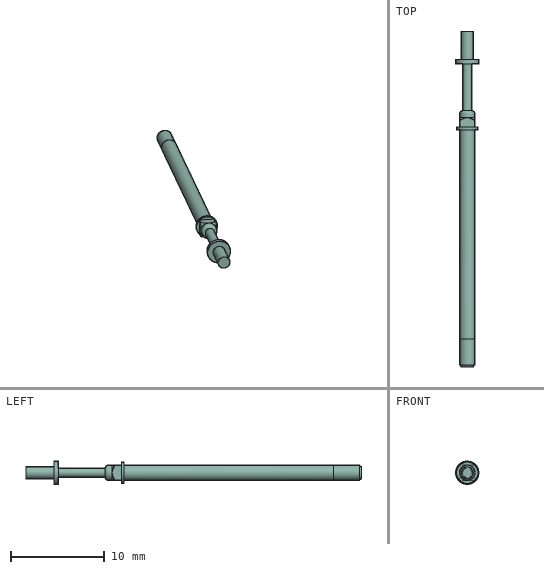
import cadquery as cq

overall_length = 36.0

head_diameter = 1.3
disc_diameter = 2.5
disc_thickness = 0.5
disc_distance_from_tip = 3.0
stem_diameter = 1.0

barrel_diameter = 1.65
mouth_distance_from_tip = 8.5
mouth_radius = 0.35
mouth_length = 0.75
square_length = 1.0
flange_diameter = 2.3
flange_thickness = 0.3

tail_length = 3.0
tail_diameter = 1.63
tail_chamfer_length = 0.25
tail_chamfer_depth = 0.2

flange_top = flange_thickness
square_top = flange_top + square_length
mouth_top = square_top + mouth_length
tip = mouth_top + mouth_distance_from_tip
disc_top = tip - disc_distance_from_tip
disc_bottom = disc_top - disc_thickness
tail_end = tip - overall_length
tail_top = tail_end + tail_length


def cylinder(diameter, bottom, top):
    """Round bar on the Y axis between two stations."""
    bar = cq.Workplane("XZ").circle(diameter / 2).extrude(bottom - top)
    return bar.translate((0, bottom, 0))


def make_plunger():
    head = cylinder(head_diameter, disc_bottom, tip)
    disc = cylinder(disc_diameter, disc_bottom, disc_top)
    stem = cylinder(stem_diameter, flange_top, disc_bottom)
    return head.union(disc).union(stem)


def make_square_collar():
    """Square collar whose corners are turned to the flange diameter and bevelled at 45 degrees."""
    square = cq.Workplane("XZ").rect(barrel_diameter, barrel_diameter).extrude(-square_top)
    bevel = (flange_diameter - barrel_diameter) / 2
    turned = cylinder(flange_diameter, 0, square_top).faces(">Y").chamfer(bevel)
    return square.intersect(turned)


def make_barrel():
    mouth = cylinder(barrel_diameter, flange_top, mouth_top)
    mouth = mouth.faces(">Y").edges().fillet(mouth_radius)
    flange = cylinder(flange_diameter, 0, flange_thickness)
    tube = cylinder(barrel_diameter, tail_top, flange_top)
    return mouth.union(make_square_collar()).union(flange).union(tube)


def make_tail():
    tail = cylinder(tail_diameter, tail_end, tail_top)
    return tail.faces("<Y").chamfer(tail_chamfer_length, tail_chamfer_depth)


result = make_plunger().union(make_barrel()).union(make_tail())